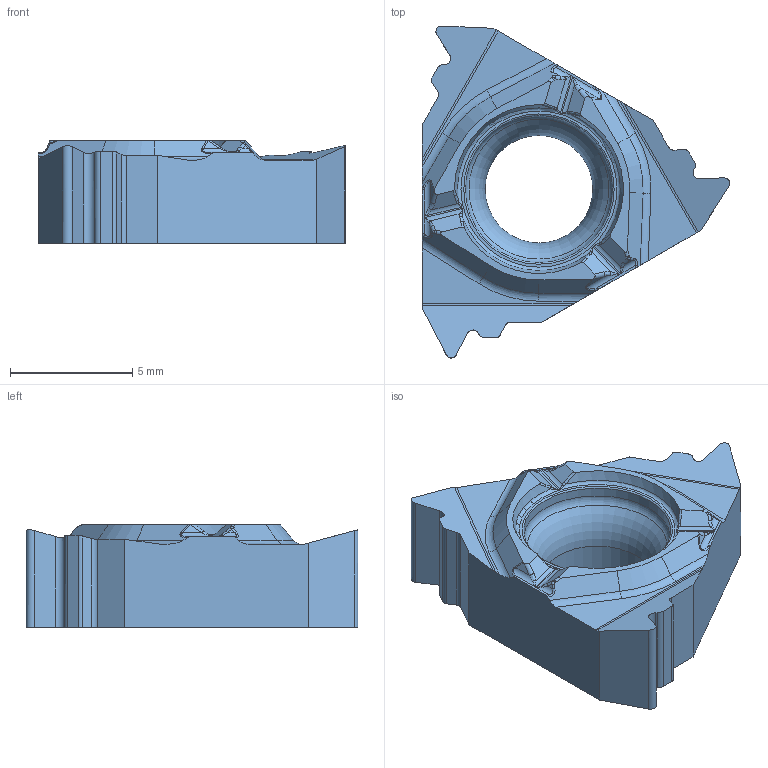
import cadquery as cq
import math

CORNERS = 3
HEIGHT = 4.2
INSCRIBED_RADIUS = 9.525 / 2
SIDE_ANGLE = 180 / CORNERS / 2

FLANK_ANGLE = 27.5
TIP_X = -3.58
TIP_REACH = 6.893
TIP_RADIUS = 0.228
VALLEY_REACH = 5.484
VALLEY_RADIUS = 0.25
VALLEY_EXIT_ANGLE = 60.0
RIDGE_REACH = 6.055
RIDGE_END_X = -1.631
RIDGE_INNER_RADIUS = 0.25
RIDGE_OUTER_RADIUS = 0.183
SHOULDER_REACH = 5.445
SHOULDER_RADIUS = 0.23

FLOOR_Z = 3.4
RAKE_ANGLE = 15.0
RAKE_START = 4.71
CREASE_RADIUS = 0.33

BOSS_TOP_RADIUS = 3.71
BOSS_WALL_ANGLE = 50.0
BOSS_ARC_ANGLE = 32.3
BOSS_FOOT_RADIUS = 0.42

LEDGE_Z = 3.71
LEDGE_TOP_X = -4.285
LEDGE_WALL_ANGLE = 67.0
LEDGE_FOOT_RADIUS = 0.26
LEDGE_START_Y = -2.03
LEDGE_END_Y = 0.43
LEDGE_END_ROUNDING = 0.12

GROOVE_DIRECTION = 193.7
GROOVE_HALF_WIDTH = 0.76
GROOVE_FLANK_ANGLE = 38.0
GROOVE_FLAT_WIDTH = 0.06
GROOVE_INNER_RADIUS = 2.6
GROOVE_LEDGE_ROUNDING = 0.16
GROOVE_COLLAR_ROUNDING = 0.1

HOLE_RADIUS = 4.4 / 2
SEAT_START_Z = 1.32
SEAT_TOP_Z = 2.9
SEAT_TOP_RADIUS = 2.86
BORE_RADIUS = 3.01
STEP_Z = 3.7
STEP_EDGE_RADIUS = 0.06
STEP_FOOT_RADIUS = 0.15
COLLAR_RADIUS = 3.45
COLLAR_WALL_ANGLE = 73.0

RIGHT_ANGLE = 90
FULL_TURN = 360
REACH = 4.0
ABOVE = 1.0


def tan(degrees):
    return math.tan(math.radians(degrees))


def sin(degrees):
    return math.sin(math.radians(degrees))


def cos(degrees):
    return math.cos(math.radians(degrees))


def turned(x, y, degrees):
    """Point turned about the Z axis."""
    return x * cos(degrees) - y * sin(degrees), x * sin(degrees) + y * cos(degrees)


def corner_angles():
    return [index * FULL_TURN / CORNERS for index in range(CORNERS)]


def cut_each_corner(body, cutter):
    for angle in corner_angles():
        body = body.cut(cutter.rotate((0, 0, 0), (0, 0, 1), angle))
    return body


def corner_profile():
    """Sharp outline points of the -Y corner, each with its rounding radius."""
    apex_reach = TIP_REACH - TIP_RADIUS + TIP_RADIUS / sin(FLANK_ANGLE)
    flank = tan(FLANK_ANGLE)
    start_reach = apex_reach - (TIP_X + INSCRIBED_RADIUS) / flank
    valley_x = TIP_X + (apex_reach - VALLEY_REACH) * flank
    ridge_start_x = valley_x + (RIDGE_REACH - VALLEY_REACH) / tan(VALLEY_EXIT_ANGLE)
    shoulder_x = RIDGE_END_X + (RIDGE_REACH - SHOULDER_REACH) * flank
    end_x = (INSCRIBED_RADIUS - SHOULDER_REACH * cos(SIDE_ANGLE)) / sin(SIDE_ANGLE)
    return [
        (-INSCRIBED_RADIUS, -start_reach, 0),
        (TIP_X, -apex_reach, TIP_RADIUS),
        (valley_x, -VALLEY_REACH, VALLEY_RADIUS),
        (ridge_start_x, -RIDGE_REACH, RIDGE_INNER_RADIUS),
        (RIDGE_END_X, -RIDGE_REACH, RIDGE_OUTER_RADIUS),
        (shoulder_x, -SHOULDER_REACH, SHOULDER_RADIUS),
        (end_x, -SHOULDER_REACH, 0),
    ]


def make_body():
    """Prism with the thread form on all three corners."""
    outline = []
    roundings = []
    for angle in corner_angles():
        for x, y, radius in corner_profile():
            point = turned(x, y, angle)
            outline.append(point)
            if radius:
                roundings.append((point, radius))
    body = cq.Workplane("XY").polyline(outline).close().extrude(HEIGHT)
    for (x, y), radius in roundings:
        corner_edge = cq.selectors.NearestToPointSelector((x, y, HEIGHT / 2))
        body = body.edges("|Z").edges(corner_edge).fillet(radius)
    return body


def boss_wall_cutter():
    """Space outside the boss wall of the -Y corner, down to the floor."""
    top = HEIGHT + ABOVE
    top_radius = BOSS_TOP_RADIUS - ABOVE / tan(BOSS_WALL_ANGLE)
    foot = BOSS_TOP_RADIUS + (HEIGHT - FLOOR_Z) / tan(BOSS_WALL_ANGLE)
    tangent = BOSS_FOOT_RADIUS * tan(BOSS_WALL_ANGLE / 2)
    wall_end = (foot - tangent * cos(BOSS_WALL_ANGLE), FLOOR_Z + tangent * sin(BOSS_WALL_ANGLE))
    floor_start = (foot + tangent, FLOOR_Z)
    arc_x = floor_start[0] - BOSS_FOOT_RADIUS * sin(BOSS_WALL_ANGLE / 2)
    arc_z = FLOOR_Z + BOSS_FOOT_RADIUS * (1 - cos(BOSS_WALL_ANGLE / 2))

    section = (
        cq.Workplane(cq.Plane(origin=(REACH, 0, 0), xDir=(0, -1, 0), normal=(-1, 0, 0)))
        .moveTo(top_radius, top)
        .lineTo(*wall_end)
        .threePointArc((arc_x, arc_z), floor_start)
        .lineTo(foot + REACH, FLOOR_Z)
        .lineTo(foot + REACH, top)
        .close()
    )
    path = (
        cq.Workplane("XY", origin=(0, 0, FLOOR_Z))
        .moveTo(REACH, -foot)
        .lineTo(0, -foot)
        .threePointArc(turned(0, -foot, -BOSS_ARC_ANGLE / 2), turned(0, -foot, -BOSS_ARC_ANGLE))
        .lineTo(*turned(-REACH, -foot, -BOSS_ARC_ANGLE))
    )
    return section.sweep(path)


def rake_space():
    """Space above the floor and the rising rake face of the -Y corner."""
    far = RAKE_START + REACH
    top = HEIGHT + 2 * ABOVE
    tangent = CREASE_RADIUS * tan(RAKE_ANGLE / 2)
    crease_end = (-RAKE_START - tangent * cos(RAKE_ANGLE), FLOOR_Z + tangent * sin(RAKE_ANGLE))
    crease_middle = (
        -RAKE_START + tangent - CREASE_RADIUS * sin(RAKE_ANGLE / 2),
        FLOOR_Z + CREASE_RADIUS * (1 - cos(RAKE_ANGLE / 2)),
    )
    return (
        cq.Workplane("YZ")
        .moveTo(REACH, FLOOR_Z)
        .lineTo(-RAKE_START + tangent, FLOOR_Z)
        .threePointArc(crease_middle, crease_end)
        .lineTo(-far, FLOOR_Z + REACH * tan(RAKE_ANGLE))
        .lineTo(-far, top)
        .lineTo(REACH, top)
        .close()
        .extrude(3 * REACH, both=True)
    )


def ledge_cutter():
    """Bar that cuts the ledge into the -X side, hollowed at the foot of its wall."""
    top = HEIGHT + ABOVE
    outside_x = -INSCRIBED_RADIUS - ABOVE
    slope = tan(LEDGE_WALL_ANGLE)
    foot_x = LEDGE_TOP_X - (HEIGHT - LEDGE_Z) / slope
    tangent = LEDGE_FOOT_RADIUS * tan(LEDGE_WALL_ANGLE / 2)
    wall_start = (foot_x + tangent * cos(LEDGE_WALL_ANGLE), LEDGE_Z + tangent * sin(LEDGE_WALL_ANGLE))
    arc_middle = (
        foot_x - tangent + LEDGE_FOOT_RADIUS * sin(LEDGE_WALL_ANGLE / 2),
        LEDGE_Z + LEDGE_FOOT_RADIUS * (1 - cos(LEDGE_WALL_ANGLE / 2)),
    )
    return (
        cq.Workplane("XZ", origin=(0, LEDGE_END_Y, 0))
        .moveTo(outside_x, LEDGE_Z)
        .lineTo(foot_x - tangent, LEDGE_Z)
        .threePointArc(arc_middle, wall_start)
        .lineTo(LEDGE_TOP_X + ABOVE / slope, top)
        .lineTo(outside_x, top)
        .close()
        .extrude(LEDGE_END_Y - LEDGE_START_Y)
    )


def groove_cutter():
    """V groove running outwards from the bore, its floor level with the ledge."""
    slope = tan(GROOVE_FLANK_ANGLE)
    half_flat = GROOVE_FLAT_WIDTH / 2
    sharp_half_flat = GROOVE_HALF_WIDTH - (HEIGHT - LEDGE_Z) / slope
    tangent = sharp_half_flat - half_flat
    flank_start = (
        sharp_half_flat + tangent * cos(GROOVE_FLANK_ANGLE),
        LEDGE_Z + tangent * sin(GROOVE_FLANK_ANGLE),
    )
    radius = tangent / tan(GROOVE_FLANK_ANGLE / 2)
    arc_middle = (
        half_flat + radius * sin(GROOVE_FLANK_ANGLE / 2),
        LEDGE_Z + radius * (1 - cos(GROOVE_FLANK_ANGLE / 2)),
    )
    top_half_width = GROOVE_HALF_WIDTH + ABOVE / slope
    return (
        cq.Workplane("YZ", origin=(GROOVE_INNER_RADIUS, 0, 0))
        .moveTo(-half_flat, LEDGE_Z)
        .lineTo(half_flat, LEDGE_Z)
        .threePointArc(arc_middle, flank_start)
        .lineTo(top_half_width, HEIGHT + ABOVE)
        .lineTo(-top_half_width, HEIGHT + ABOVE)
        .lineTo(-flank_start[0], flank_start[1])
        .threePointArc((-arc_middle[0], arc_middle[1]), (-half_flat, LEDGE_Z))
        .close()
        .extrude(REACH)
        .rotate((0, 0, 0), (0, 0, 1), GROOVE_DIRECTION)
    )


def hole_cutter():
    """Straight hole, convex seat, short bore and a wider collar, turned about Z."""
    seat_width = SEAT_TOP_RADIUS - HOLE_RADIUS
    seat_depth = SEAT_TOP_Z - SEAT_START_Z
    seat_radius = (seat_width ** 2 + seat_depth ** 2) / (2 * seat_width)
    seat_angle = math.degrees(math.asin(seat_depth / seat_radius))
    seat_middle = (
        HOLE_RADIUS + seat_radius * (1 - cos(seat_angle / 2)),
        SEAT_START_Z + seat_radius * sin(seat_angle / 2),
    )
    blend_radius = (BORE_RADIUS - SEAT_TOP_RADIUS) / (1 - cos(seat_angle))
    bore_start_z = SEAT_TOP_Z + blend_radius * sin(seat_angle)
    blend_middle = (
        BORE_RADIUS - blend_radius * (1 - cos(seat_angle / 2)),
        bore_start_z - blend_radius * sin(seat_angle / 2),
    )
    collar_foot = COLLAR_RADIUS - (HEIGHT - STEP_Z) / tan(COLLAR_WALL_ANGLE)
    tangent = STEP_FOOT_RADIUS * tan(COLLAR_WALL_ANGLE / 2)
    step_end = (collar_foot - tangent, STEP_Z)
    step_middle = (
        step_end[0] + STEP_FOOT_RADIUS * sin(COLLAR_WALL_ANGLE / 2),
        STEP_Z + STEP_FOOT_RADIUS * (1 - cos(COLLAR_WALL_ANGLE / 2)),
    )
    collar_start = (
        collar_foot + tangent * cos(COLLAR_WALL_ANGLE),
        STEP_Z + tangent * sin(COLLAR_WALL_ANGLE),
    )
    edge_start = (BORE_RADIUS, STEP_Z - STEP_EDGE_RADIUS)
    edge_middle = (
        BORE_RADIUS + STEP_EDGE_RADIUS * (1 - cos(RIGHT_ANGLE / 2)),
        STEP_Z - STEP_EDGE_RADIUS * (1 - sin(RIGHT_ANGLE / 2)),
    )
    return (
        cq.Workplane("XZ")
        .moveTo(0, 0)
        .lineTo(HOLE_RADIUS, 0)
        .lineTo(HOLE_RADIUS, SEAT_START_Z)
        .threePointArc(seat_middle, (SEAT_TOP_RADIUS, SEAT_TOP_Z))
        .threePointArc(blend_middle, (BORE_RADIUS, bore_start_z))
        .lineTo(*edge_start)
        .threePointArc(edge_middle, (BORE_RADIUS + STEP_EDGE_RADIUS, STEP_Z))
        .lineTo(*step_end)
        .threePointArc(step_middle, collar_start)
        .lineTo(COLLAR_RADIUS, HEIGHT)
        .lineTo(0, HEIGHT)
        .close()
        .revolve(FULL_TURN, (0, 0, 0), (0, 1, 0))
    )


def round_edge(body, x, y, z, angle, radius):
    """Round the edge centred nearest to a point, after turning the point about Z."""
    nearest = cq.selectors.NearestToPointSelector((*turned(x, y, angle), z))
    return body.edges(nearest).fillet(radius)


def round_groove_ends(body):
    """Round each groove where its flanks meet the ledge wall and the collar wall."""
    z = (HEIGHT + LEDGE_Z + LEDGE_FOOT_RADIUS * (1 - cos(LEDGE_WALL_ANGLE))) / 2
    depth = HEIGHT - z
    half_width = GROOVE_HALF_WIDTH - depth / tan(GROOVE_FLANK_ANGLE)
    ledge_x = LEDGE_TOP_X - depth / tan(LEDGE_WALL_ANGLE)
    collar_radius = COLLAR_RADIUS - depth / tan(COLLAR_WALL_ANGLE)
    collar_distance = math.sqrt(collar_radius ** 2 - half_width ** 2)
    collar_x, collar_y = turned(collar_distance, half_width, GROOVE_DIRECTION)
    for angle in corner_angles():
        for offset in (half_width, -half_width):
            distance = (ledge_x + offset * sin(GROOVE_DIRECTION)) / cos(GROOVE_DIRECTION)
            ledge_y = turned(distance, offset, GROOVE_DIRECTION)[1]
            body = round_edge(body, ledge_x, ledge_y, z, angle, GROOVE_LEDGE_ROUNDING)
        body = round_edge(body, collar_x, collar_y, z, angle, GROOVE_COLLAR_ROUNDING)
    return body


def round_ledge_ends(body):
    """Round each end of the ledges where they break out through the boss wall."""
    foot_x = LEDGE_TOP_X - (HEIGHT - LEDGE_Z) / tan(LEDGE_WALL_ANGLE)
    for angle in corner_angles():
        for y in (LEDGE_START_Y, LEDGE_END_Y):
            body = round_edge(body, foot_x, y, LEDGE_Z, angle, LEDGE_END_ROUNDING)
    return body


result = make_body()
result = cut_each_corner(result, boss_wall_cutter().intersect(rake_space()))
result = cut_each_corner(result, ledge_cutter())
result = cut_each_corner(result, groove_cutter())
result = result.cut(hole_cutter())
result = round_groove_ends(result)
result = round_ledge_ends(result)